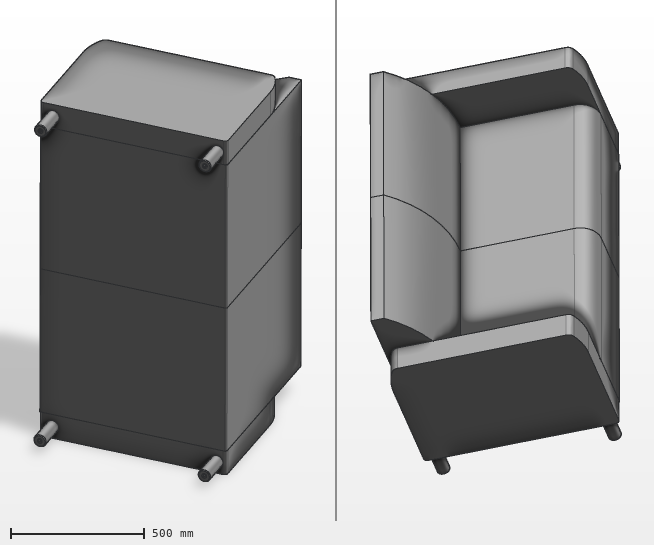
import cadquery as cq
import math

LENGTH = 1435.0
DEPTH = 763.0
TILT = 0.12

ARM_THICKNESS = 102.0
ARM_HEIGHT = 533.0
ARM_SIDE_HEIGHT = 414.0
ARM_SHOULDER_RADIUS = 215.0
ARM_SHOULDER_RISE = 103.0
ARM_CROWN_INSET = 53.0
ARM_BASE_RADIUS = 15.0

MODULE_LENGTH = (LENGTH - 2 * ARM_THICKNESS) / 2
SEAT_HEIGHT = 322.0
SEAT_FRONT_RADIUS = 82.0
SEAT_BASE_RADIUS = 7.0
BACK_HEIGHT = 709.0
BACK_TOP_DEPTH = 52.0
BACK_CURVE_RADIUS = 496.0

LEG_DIAMETER = 50.0
LEG_LENGTH = 122.0
LEG_TIP_DIAMETER = 43.0
LEG_RECESS_DIAMETER = 19.0
LEG_RECESS_DEPTH = 3.0
LEG_BORE_DIAMETER = 7.9
LEG_BORE_DEPTH = 15.0
LEG_SIDE_INSET = 55.0
LEG_SPACING = 670.0


def make_arm(bottom_z):
    """Side panel with curved shoulders and a flat crown."""
    angle = math.asin(ARM_SHOULDER_RISE / ARM_SHOULDER_RADIUS)
    shoulder_y = ARM_SIDE_HEIGHT + ARM_SHOULDER_RISE
    shoulder_x = ARM_SHOULDER_RADIUS * (1 - math.cos(angle))
    middle_y = ARM_SIDE_HEIGHT + ARM_SHOULDER_RADIUS * math.sin(angle / 2)
    middle_x = ARM_SHOULDER_RADIUS * (1 - math.cos(angle / 2))
    end_tangent = (math.sin(angle), math.cos(angle))

    arm = (
        cq.Workplane("XY")
        .workplane(offset=bottom_z)
        .moveTo(0, 0)
        .lineTo(0, ARM_SIDE_HEIGHT)
        .threePointArc((middle_x, middle_y), (shoulder_x, shoulder_y))
        .spline(
            [(ARM_CROWN_INSET, ARM_HEIGHT)],
            tangents=[end_tangent, (1, 0)],
            includeCurrent=True,
        )
        .lineTo(DEPTH - ARM_CROWN_INSET, ARM_HEIGHT)
        .spline(
            [(DEPTH - shoulder_x, shoulder_y)],
            tangents=[(1, 0), (end_tangent[0], -end_tangent[1])],
            includeCurrent=True,
        )
        .threePointArc((DEPTH - middle_x, middle_y), (DEPTH, ARM_SIDE_HEIGHT))
        .lineTo(DEPTH, 0)
        .close()
        .extrude(ARM_THICKNESS)
    )
    return arm.faces("<Y").edges("|Z").fillet(ARM_BASE_RADIUS)


def make_seat_module(bottom_z):
    """Seat block and backrest in one piece; the backrest curve leaves the seat upright."""
    back_rise = BACK_HEIGHT - SEAT_HEIGHT
    angle = math.asin(back_rise / BACK_CURVE_RADIUS)
    back_top_x = DEPTH - BACK_TOP_DEPTH
    back_foot_x = back_top_x - BACK_CURVE_RADIUS * (1 - math.cos(angle))
    middle = (
        back_foot_x + BACK_CURVE_RADIUS * (1 - math.cos(angle / 2)),
        SEAT_HEIGHT + BACK_CURVE_RADIUS * math.sin(angle / 2),
    )

    module = (
        cq.Workplane("XY")
        .workplane(offset=bottom_z)
        .moveTo(0, 0)
        .lineTo(0, SEAT_HEIGHT - SEAT_FRONT_RADIUS)
        .radiusArc((SEAT_FRONT_RADIUS, SEAT_HEIGHT), SEAT_FRONT_RADIUS)
        .lineTo(back_foot_x, SEAT_HEIGHT)
        .threePointArc(middle, (back_top_x, BACK_HEIGHT))
        .lineTo(DEPTH, BACK_HEIGHT)
        .lineTo(DEPTH, 0)
        .close()
        .extrude(MODULE_LENGTH)
    )
    return module.faces("<Y").edges("|Z").fillet(SEAT_BASE_RADIUS)


def make_leg(x, z):
    """Round leg pointing along -Y, with a chamfered tip and a stepped centre hole."""
    leg = (
        cq.Workplane("XZ", origin=(x, 0, z))
        .circle(LEG_DIAMETER / 2)
        .extrude(LEG_LENGTH)
        .faces("<Y")
        .chamfer((LEG_DIAMETER - LEG_TIP_DIAMETER) / 2)
    )
    return (
        leg.faces("<Y")
        .workplane()
        .cboreHole(LEG_BORE_DIAMETER, LEG_RECESS_DIAMETER, LEG_RECESS_DEPTH, LEG_BORE_DEPTH)
    )


arms = [make_arm(z) for z in (0, LENGTH - ARM_THICKNESS)]
seat_modules = [make_seat_module(ARM_THICKNESS + i * MODULE_LENGTH) for i in range(2)]
legs = [
    make_leg(x, z)
    for x in (LEG_SIDE_INSET, LEG_SIDE_INSET + LEG_SPACING)
    for z in (ARM_THICKNESS / 2, LENGTH - ARM_THICKNESS / 2)
]

bodies = arms + seat_modules + legs
result = cq.Compound.makeCompound(
    [body.val().rotate((0, 0, 0), (0, 1, 0), TILT) for body in bodies]
)